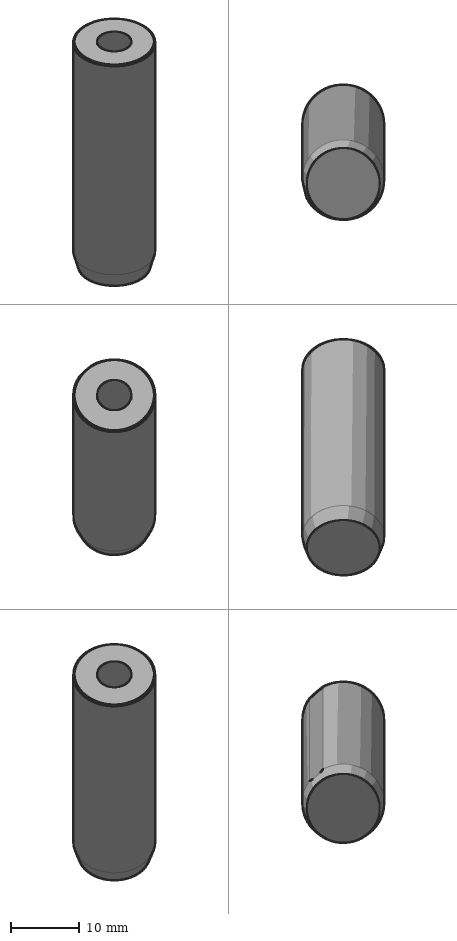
import cadquery as cq
import math

length = 40.0
diameter = 12.0
radius = diameter / 2

taper_height = 2.5
taper_angle = 15.0
taper_inset = taper_height * math.tan(math.radians(taper_angle))

top_chamfer = 0.2

hole_diameter = 5.0
hole_radius = hole_diameter / 2
hole_depth = 18.0
drill_point_angle = 120.0
drill_point_height = hole_radius / math.tan(math.radians(drill_point_angle / 2))

flat_depth = 0.15


def revolve_about_z(profile):
    return profile.close().revolve(360, (0, 0, 0), (0, 1, 0))


def make_body():
    profile = (
        cq.Workplane("XZ")
        .lineTo(radius - taper_inset, 0)
        .lineTo(radius, taper_height)
        .lineTo(radius, length - top_chamfer)
        .lineTo(radius - top_chamfer, length)
        .lineTo(0, length)
    )
    return revolve_about_z(profile)


def make_hole():
    hole_floor = length - hole_depth
    profile = (
        cq.Workplane("XZ")
        .moveTo(0, length)
        .lineTo(hole_radius, length)
        .lineTo(hole_radius, hole_floor)
        .lineTo(0, hole_floor - drill_point_height)
    )
    return revolve_about_z(profile)


def make_vent_flat():
    return (
        cq.Workplane("XY")
        .box(diameter, diameter, length, centered=(True, False, False))
        .translate((0, radius - flat_depth, 0))
    )


result = make_body().cut(make_hole()).cut(make_vent_flat())